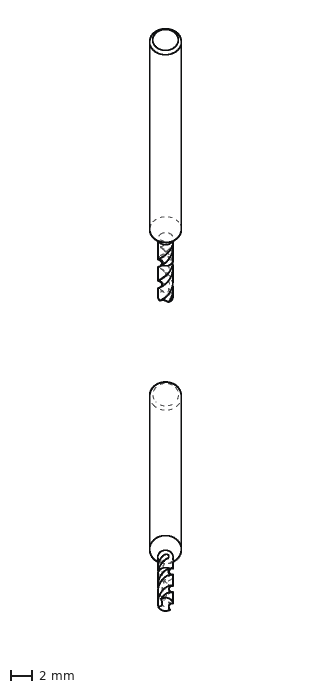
import cadquery as cq
import math

total_length = 42.0

shank_diameter = 3.0
shank_radius = shank_diameter / 2
shank_bottom_z = 11.2
top_chamfer = 0.3

drill_diameter = 1.43
drill_radius = drill_diameter / 2
neck_top_z = 9.75
joint_z = 6.3
point_height = 0.35

flute_count = 2
flute_pitch = 6.9
flute_phase = 81.0
flute_cutter_radius = 0.4
flute_center_radius = 0.75
flute_end_z = 8.27
runout_height = 1.05
runout_slope = 0.4


def revolved(profile):
    """Turn a closed radius-height outline around the Z axis."""
    return cq.Workplane("XZ").polyline(profile).close().revolve(360, (0, 0), (0, 1))


def shank_blank():
    return revolved([
        (0, joint_z),
        (drill_radius, joint_z),
        (drill_radius, neck_top_z),
        (shank_radius, shank_bottom_z),
        (shank_radius, total_length - top_chamfer),
        (shank_radius - top_chamfer, total_length),
        (0, total_length),
    ])


def tip_blank():
    return revolved([
        (0, 0),
        (drill_radius, point_height),
        (drill_radius, joint_z),
        (0, joint_z),
    ])


def flute_center(angle):
    """Place of the cutter center at an angle in radians."""
    return flute_center_radius * math.cos(angle), flute_center_radius * math.sin(angle)


def helical_flute(start_angle):
    twist = 360 * flute_end_z / flute_pitch
    return (
        cq.Workplane("XY")
        .pushPoints([flute_center(math.radians(start_angle))])
        .circle(flute_cutter_radius)
        .twistExtrude(flute_end_z, twist)
    )


def flute_runout(start_angle):
    """Carry the flute section straight on, along the tangent of its helix and outward."""
    end_angle = math.radians(start_angle) + 2 * math.pi * flute_end_z / flute_pitch
    x, y = flute_center(end_angle)
    turn = 2 * math.pi * runout_height / flute_pitch
    section = cq.Wire.makeCircle(
        flute_cutter_radius, cq.Vector(x, y, flute_end_z), cq.Vector(0, 0, 1)
    )
    outward = runout_slope * runout_height / flute_center_radius
    direction = cq.Vector(x * outward - y * turn, y * outward + x * turn, runout_height)
    return cq.Workplane(cq.Solid.extrudeLinear(section, [], direction))


shank = shank_blank()
tip = tip_blank()

for index in range(flute_count):
    start_angle = flute_phase + index * 360 / flute_count
    helix = helical_flute(start_angle)
    shank = shank.cut(helix).cut(flute_runout(start_angle))
    tip = tip.cut(helix)

result = cq.Compound.makeCompound([shank.val(), tip.val()])